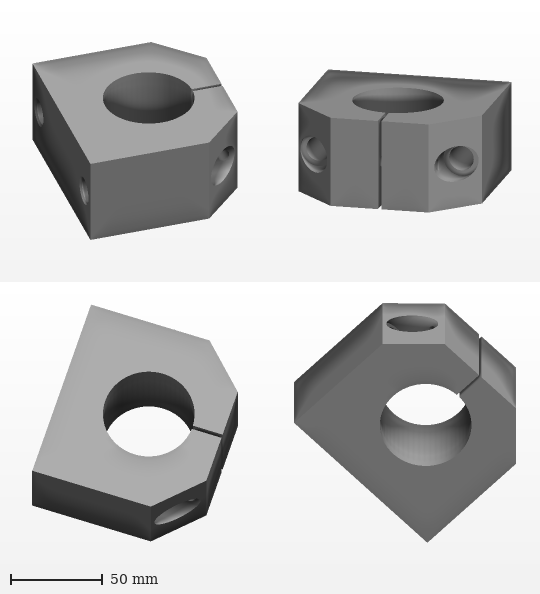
import cadquery as cq

WIDTH = 103.0
DEPTH = 92.0
HEIGHT = 50.0
CORNER_CHAMFER = 24.0

BORE_DIAMETER = 50.0
BORE_Y = 50.0
SLOT_WIDTH = 2.0

MOUNT_SPACING = 80.0
MOUNT_DIAMETER = 13.8
MOUNT_MOUTH_DIAMETER = 16.0
MOUNT_MOUTH_DEPTH = (MOUNT_MOUTH_DIAMETER - MOUNT_DIAMETER) / 2
COUNTERBORE_DIAMETER = 20.0
COUNTERBORE_FLOOR_Y = DEPTH - CORNER_CHAMFER

SCREW_DIAMETER = 6.7
SCREW_BACK_DISTANCE = 9.0

TOWARD_BACK = cq.Vector(0, 1, 0)
TOWARD_RIGHT = cq.Vector(1, 0, 0)


def make_block():
    block = cq.Workplane("XY").box(WIDTH, DEPTH, HEIGHT, centered=(True, False, True))
    return block.edges("|Z and >Y").chamfer(CORNER_CHAMFER)


def make_bore():
    return cq.Workplane("XY").center(0, BORE_Y).circle(BORE_DIAMETER / 2).extrude(HEIGHT / 2, both=True)


def make_slot():
    slot = cq.Workplane("XY").box(SLOT_WIDTH, DEPTH - BORE_Y, HEIGHT, centered=(True, False, True))
    return slot.translate((0, BORE_Y, 0))


def make_mounting_hole(x):
    """Through hole with a conical front mouth and a counterbore sunk through the corner chamfer."""
    front = cq.Vector(x, 0, 0)
    floor = cq.Vector(x, COUNTERBORE_FLOOR_Y, 0)
    hole = cq.Solid.makeCylinder(MOUNT_DIAMETER / 2, DEPTH, front, TOWARD_BACK)
    mouth = cq.Solid.makeCone(
        MOUNT_MOUTH_DIAMETER / 2, MOUNT_DIAMETER / 2, MOUNT_MOUTH_DEPTH, front, TOWARD_BACK
    )
    counterbore = cq.Solid.makeCylinder(
        COUNTERBORE_DIAMETER / 2, DEPTH - COUNTERBORE_FLOOR_Y, floor, TOWARD_BACK
    )
    return cq.Workplane(hole).union(cq.Workplane(mouth)).union(cq.Workplane(counterbore))


def make_screw_hole():
    start = cq.Vector(-WIDTH / 2, DEPTH - SCREW_BACK_DISTANCE, 0)
    return cq.Workplane(cq.Solid.makeCylinder(SCREW_DIAMETER / 2, WIDTH, start, TOWARD_RIGHT))


result = make_block().cut(make_bore()).cut(make_slot())
for side in (-1, 1):
    result = result.cut(make_mounting_hole(side * MOUNT_SPACING / 2))
result = result.cut(make_screw_hole())